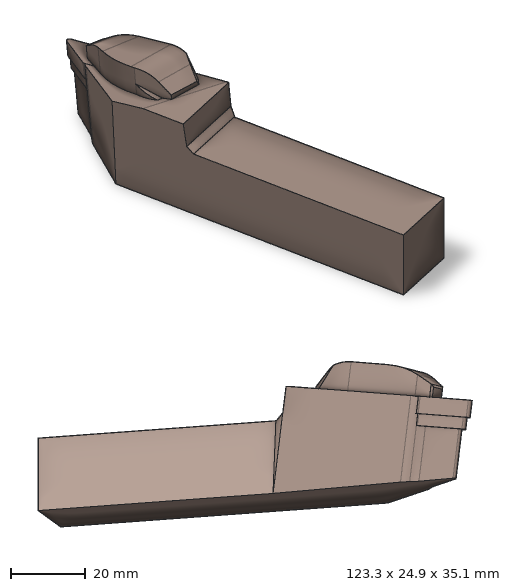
import cadquery as cq
import math

LENGTH = 123.3
SHANK_WIDTH = 20.0
SHANK_HEIGHT = 20.0
HEAD_HEIGHT = 28.6

STEP_TOP_X = 52.9
STEP_WALL_FOOT = (54.0, 21.6)
STEP_BEVEL_END_X = 56.2
HEAD_CLIP_WIDTH = 30.8

TIP = (-1.6, 25.0, 20.2)
TIP_HEADING = -20.5
FACE_TILT = 9.8
FACE_UPHILL_HEADING = -28.6
HEAD_DEPTH = 37.0

NOSE_ANGLE = 35.0
INSERT_SIDE = 16.7
INSERT_THICKNESS = 4.7
INSERT_RADIUS = 0.78
SHIM_THICKNESS = 3.2
SHIM_INSET = 0.31

RELIEF_INSET = 0.8
RELIEF_RADIUS = 0.6
RELIEF_HALF_LENGTH = 2.5

FRONT_WALL_LENGTH = 46.9
BACK_WALL_LENGTH = 55.3
HEAD_REAR_BACK = (59.5, 14.7)
HEAD_REAR_FRONT = (65.4, -9.9)

CLAMP_NOSE_X = 13.9
CLAMP_NOSE_FRONT = -2.5
CLAMP_NOSE_BACK = 2.3
CLAMP_NOSE_BEVEL = 0.5
CLAMP_FLANK_START = (23.9, -5.2)
CLAMP_FLANK_MIDDLE = (32.7, -6.4)
CLAMP_FLANK_END = (40.7, -5.3)
CLAMP_HEEL_FRONT = (49.7, -0.2)
CLAMP_HEEL_BACK = (48.0, 10.1)
CLAMP_BACK_CORNER = (45.5, 11.7)
CLAMP_BACK_ARC_MIDDLE = (41.3, 11.0)
CLAMP_BACK_ARC_END = (36.9, 9.7)
CLAMP_BACK_BEND = (18.7, 3.3)
CLAMP_BEVEL_NORMAL = (0.55, 0.84, 0.38)
BEVEL_BLOCK_SIDE = 29.6
FOOT_MIDDLE = (44.3, -4.7)
FOOT_END = (47.4, -3.2)
FOOT_HEIGHT = 3.2

CLAMP_HEIGHT = 8.1
CLAMP_FRONT_ANGLE = 28.0
CLAMP_FRONT_ARC = (18.7, 27.0)
CLAMP_REAR_ANGLE = 47.0
CLAMP_REAR_ARC = (38.0, 45.6)
CLAMP_REAR_END = 61.7
CLAMP_REAR_YAW = 10.2
PROFILE_HALF_WIDTH = 37.0

HALF_NOSE = math.radians(NOSE_ANGLE / 2)


def head_location():
    """Location that carries the head frame onto the tilted seat face."""
    tilt = math.radians(FACE_TILT)
    uphill = math.radians(FACE_UPHILL_HEADING)
    heading = math.radians(TIP_HEADING)
    normal = (-math.sin(tilt) * math.cos(uphill), -math.sin(tilt) * math.sin(uphill), math.cos(tilt))
    x_rise = math.tan(tilt) * math.cos(heading - uphill)
    x_dir = (math.cos(heading), math.sin(heading), x_rise)
    return cq.Location(cq.Plane(origin=TIP, xDir=x_dir, normal=normal))


def place(local):
    """Move a workplane built in the head frame to its place on the tool."""
    return cq.Workplane(local.val().moved(head_location()))


def wall_point(distance, inset, side):
    """Point at a distance along a flank of the nose, pushed inward; side is -1 front, +1 back."""
    x = distance * math.cos(HALF_NOSE) + inset * math.sin(HALF_NOSE)
    y = distance * math.sin(HALF_NOSE) - inset * math.cos(HALF_NOSE)
    return (x, side * y)


def rhombus(inset, thickness, top):
    """Rounded 35-degree rhombic plate whose top lies at the given height of the head frame."""
    middle = INSERT_SIDE * math.cos(HALF_NOSE)
    half_length = middle - inset / math.sin(HALF_NOSE)
    half_width = half_length * math.tan(HALF_NOSE)
    corners = [
        (middle - half_length, 0),
        (middle, -half_width),
        (middle + half_length, 0),
        (middle, half_width),
    ]
    plate = cq.Workplane("XY").workplane(offset=top - thickness).polyline(corners).close()
    return plate.extrude(thickness).edges("|Z").fillet(INSERT_RADIUS)


def make_insert():
    """Rhombic cutting plate flush with the seat face."""
    return place(rhombus(0, INSERT_THICKNESS, 0))


def head_block():
    """Head prism: flat flanks set back below the insert, joined to the main walls by S-curves."""
    start = INSERT_SIDE - RELIEF_HALF_LENGTH
    end = INSERT_SIDE + RELIEF_HALF_LENGTH
    relief_tip = (RELIEF_INSET / math.sin(HALF_NOSE), 0)
    outline = (
        cq.Workplane("XY")
        .workplane(offset=-HEAD_DEPTH)
        .moveTo(*relief_tip)
        .lineTo(*wall_point(start, RELIEF_INSET, -1))
        .tangentArcPoint(wall_point(INSERT_SIDE, RELIEF_INSET / 2, -1), relative=False)
        .tangentArcPoint(wall_point(end, 0, -1), relative=False)
        .lineTo(*wall_point(FRONT_WALL_LENGTH, 0, -1))
        .lineTo(*HEAD_REAR_FRONT)
        .lineTo(*HEAD_REAR_BACK)
        .lineTo(*wall_point(BACK_WALL_LENGTH, 0, 1))
        .lineTo(*wall_point(end, 0, 1))
        .tangentArcPoint(wall_point(INSERT_SIDE, RELIEF_INSET / 2, 1), relative=False)
        .tangentArcPoint(wall_point(start, RELIEF_INSET, 1), relative=False)
        .close()
    )
    block = outline.extrude(HEAD_DEPTH)
    nose_edge = cq.selectors.NearestToPointSelector((*relief_tip, -HEAD_DEPTH / 2))
    return place(block.edges(nose_edge).fillet(RELIEF_RADIUS))


def side_profile():
    """Side outline of shank and head in the XZ plane, with the leaning step wall and its bevelled foot."""
    return (
        cq.Workplane("XZ")
        .moveTo(0, 0)
        .lineTo(LENGTH, 0)
        .lineTo(LENGTH, SHANK_HEIGHT)
        .lineTo(STEP_BEVEL_END_X, SHANK_HEIGHT)
        .lineTo(*STEP_WALL_FOOT)
        .lineTo(STEP_TOP_X, HEAD_HEIGHT)
        .lineTo(0, HEAD_HEIGHT)
        .close()
        .extrude(-HEAD_CLIP_WIDTH)
    )


def clamp_finger_blank():
    """Prism of the clamp finger, normal to the seat face."""
    return (
        cq.Workplane("XY")
        .moveTo(CLAMP_NOSE_X, CLAMP_NOSE_BACK)
        .lineTo(CLAMP_NOSE_X, CLAMP_NOSE_FRONT)
        .lineTo(*CLAMP_FLANK_START)
        .threePointArc(CLAMP_FLANK_MIDDLE, CLAMP_FLANK_END)
        .lineTo(*CLAMP_HEEL_FRONT)
        .lineTo(*CLAMP_HEEL_BACK)
        .lineTo(*CLAMP_BACK_CORNER)
        .threePointArc(CLAMP_BACK_ARC_MIDDLE, CLAMP_BACK_ARC_END)
        .lineTo(*CLAMP_BACK_BEND)
        .close()
        .extrude(CLAMP_HEIGHT)
    )


def clamp_heel_bevel():
    """Block above the sloping plane that bevels the back corner of the heel."""
    edge = (CLAMP_BEVEL_NORMAL[1], -CLAMP_BEVEL_NORMAL[0], 0)
    plane = cq.Plane(origin=(*CLAMP_BACK_CORNER, 0), xDir=edge, normal=CLAMP_BEVEL_NORMAL)
    return cq.Workplane(plane).rect(BEVEL_BLOCK_SIDE, BEVEL_BLOCK_SIDE).extrude(CLAMP_HEIGHT)


def clamp_foot():
    """Low wedge that stands out from the front flank and falls toward the heel."""
    wedge = (
        cq.Workplane("XZ")
        .moveTo(CLAMP_FLANK_END[0], 0)
        .lineTo(CLAMP_FLANK_END[0], FOOT_HEIGHT)
        .lineTo(FOOT_END[0], 0)
        .close()
        .extrude(PROFILE_HALF_WIDTH, both=True)
    )
    pad = (
        cq.Workplane("XY")
        .moveTo(*CLAMP_FLANK_END)
        .threePointArc(FOOT_MIDDLE, FOOT_END)
        .lineTo(*CLAMP_HEEL_FRONT)
        .close()
        .extrude(FOOT_HEIGHT)
    )
    return pad.intersect(wedge)


def clamp_front_profile():
    """Slab under the flat top and its rounded fall to the nose."""
    angle = math.radians(CLAMP_FRONT_ANGLE)
    low, high = CLAMP_FRONT_ARC
    low_z = CLAMP_HEIGHT - (high - low) * math.tan(angle / 2)
    nose_z = low_z - (low - CLAMP_NOSE_X) * math.tan(angle)
    return (
        cq.Workplane("XZ")
        .moveTo(CLAMP_NOSE_X, 0)
        .lineTo(CLAMP_NOSE_X, nose_z)
        .lineTo(low, low_z)
        .tangentArcPoint((high, CLAMP_HEIGHT), relative=False)
        .lineTo(CLAMP_REAR_END, CLAMP_HEIGHT)
        .lineTo(CLAMP_REAR_END, 0)
        .close()
        .extrude(PROFILE_HALF_WIDTH, both=True)
    )


def clamp_rear_profile():
    """Slab under the flat top and its rounded fall to the heel, turned to the heel's heading."""
    angle = math.radians(CLAMP_REAR_ANGLE)
    high, low = CLAMP_REAR_ARC
    low_z = CLAMP_HEIGHT - (low - high) * math.tan(angle / 2)
    foot = low + low_z / math.tan(angle)
    return (
        cq.Workplane("XZ")
        .moveTo(0, 0)
        .lineTo(0, CLAMP_HEIGHT)
        .lineTo(high, CLAMP_HEIGHT)
        .tangentArcPoint((low, low_z), relative=False)
        .lineTo(foot, 0)
        .close()
        .extrude(PROFILE_HALF_WIDTH, both=True)
        .rotate((0, 0, 0), (0, 0, 1), CLAMP_REAR_YAW)
    )


def clamp_finger():
    """Clamp finger that is part of the holder and rests on the seat face and the insert."""
    finger = clamp_finger_blank().intersect(clamp_front_profile()).intersect(clamp_rear_profile())
    nose_edges = finger.faces("<X").edges("|Z or >Z")
    finger = nose_edges.chamfer(CLAMP_NOSE_BEVEL)
    return place(finger.cut(clamp_heel_bevel()).union(clamp_foot()))


def make_holder(insert):
    """Shank, head, shim and clamp finger in one, with a pocket that matches the insert."""
    shank = cq.Workplane("XY").box(LENGTH - STEP_TOP_X, SHANK_WIDTH, SHANK_HEIGHT, centered=False)
    shank = shank.translate((STEP_TOP_X, 0, 0))
    head = head_block().intersect(side_profile())
    shim = place(rhombus(SHIM_INSET, SHIM_THICKNESS, -INSERT_THICKNESS))
    body = head.union(shank).union(shim).cut(insert)
    return body.union(clamp_finger())


insert = make_insert()
holder = make_holder(insert)

result = cq.Compound.makeCompound([*holder.solids().vals(), *insert.solids().vals()])